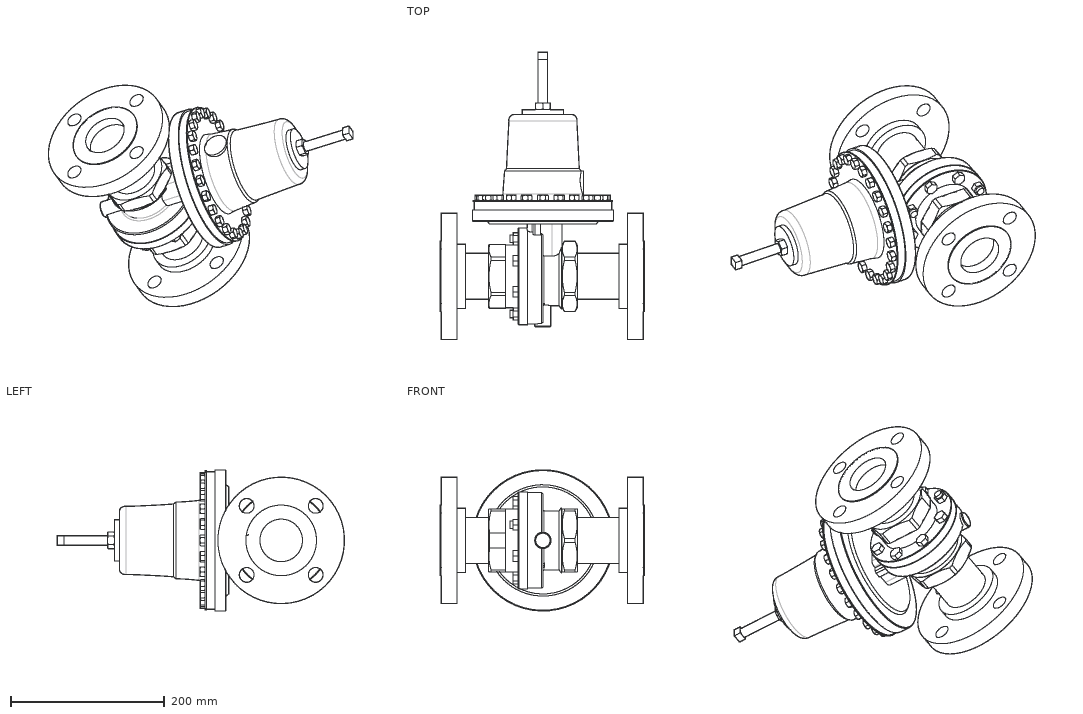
import cadquery as cq
import math


OVERALL_LENGTH = 266.7
FLANGE_DIA = 165.1
FLANGE_THICKNESS = 20.8
RAISED_FACE_DIA = 92.1
RAISED_FACE_HEIGHT = 1.6
HUB_DIA = 84.0
HUB_LENGTH = 11.2
PIPE_DIA = 60.3
BORE_DIA = 55.5
BORE_DEPTH = 14.0
BOLT_CIRCLE_DIA = 127.0
BOLT_HOLE_DIA = 19.05
BOLT_HOLE_COUNT = 4

NUT_ACROSS_FLATS = 82.0
NUT_ACROSS_CORNERS = 91.8
LEFT_NUT_WIDTH_Y = 83.4
NUT_CHAMFER_AXIAL = 3.5
NUT_CHAMFER_RADIAL = 6.5
NUT_ENVELOPE_MARGIN = 1.0
LEFT_NUT_X = (-69.8, -48.0)
RIGHT_NUT_X = (25.8, 45.8)

COVER_X = -31.3
BODY_SPLIT_X = -19.0
BODY_END_X = 0.8
COVER_RADIUS = 63.3
BODY_RADIUS = 62.3
COVER_EDGE_CHAMFER = 0.8
BODY_EDGE_CHAMFER = 1.5
NECK_FILLET = 2.4
LEFT_NECK_RADIUS = 41.0
RIGHT_NECK_RADIUS = 38.4
RIGHT_NECK_END_X = 22.0
RIGHT_RIM_RADIUS = 42.5
RIGHT_RIM_WIDTH = 1.0

COVER_SCREW_COUNT = 8
COVER_SCREW_CIRCLE_RADIUS = 53.0
COVER_SCREW_HEX_CORNERS = 16.0
COVER_SCREW_HEAD = 6.8
STUD_DIA = 10.0
STUD_LENGTH = 11.0

PLUG_DIA = 21.2
PLUG_END_Y = -66.0
PLUG_CHAMFER = 1.2

NECK_WIDTH_END_X = 26.0
NECK_CORNER_RADIUS = 13.5
NECK_HALF_HEIGHT = 28.0
TAP_BLOCK_X = (-12.0, -2.0)
TAP_BLOCK_Y = 53.6
TAP_BLOCK_HALF_HEIGHT = 32.0
TAP_BLOCK_CHAMFER = 2.4
TAP_BOSS_START_X = -19.8
TAP_BOSS_Y = 57.8
TAP_BOSS_HALF_HEIGHT = 23.0
TAP_BOSS_EDGE_RADIUS = 6.0

HEAD_X = 0.8
HEAD_FACE_Y = 68.2
HEAD_OVERLAP = 1.0
PAD_TOP_RADIUS = 69.8
PAD_BASE_RADIUS = 72.6
CASE_Y = 71.8
CASE_SPLIT_Y = 86.6
CASE_RADIUS = 92.075
CASE_CHAMFER = 1.0
COVER_PLATE_RADIUS = 89.8
LIP_Y = 97.6
LIP_RADIUS = 91.0
COVER_PLATE_TOP_Y = 99.0
BELL_BASE_RADIUS = 52.3
BELL_FOOT_RADIUS = 54.0
BELL_FOOT_Y = 107.4
STEP_Y = 137.3
STEP_LOWER_RADIUS = 50.1
BELL_Y = 140.4
BELL_LOWER_RADIUS = 47.6
SHOULDER_Y = 202.4
SHOULDER_RADIUS = 44.5
SHOULDER_TOP_RADIUS = 38.5
CROWN_Y = 211.0
CAP_RADIUS = 27.0
CAP_Y = 217.4
LOCKNUT_CORNERS = 22.3
LOCKNUT_Y = 226.2
STEM_DIA = 12.7
SQUARE_START_Y = 282.8
STEM_END_Y = 292.1

SMALL_HEX_CHAMFER = 0.9
HEAD_SCREW_COUNT = 24
HEAD_SCREW_CIRCLE_RADIUS = 82.2
HEAD_SCREW_CORNERS = 14.4
HEAD_SCREW_TOP_Y = 105.7

VENT_Y = 121.5
VENT_RADIUS = 15.8
VENT_END_X = 53.8


def x_cylinder(radius, start, end, y=0, z=0):
    """Cylinder along X between two X positions."""
    return cq.Workplane("YZ", origin=(start, y, z)).circle(radius).extrude(end - start)


def y_cylinder(radius, start, end, x=HEAD_X):
    """Cylinder along Y between two Y positions."""
    return cq.Workplane("XZ", origin=(x, start, 0)).circle(radius).extrude(start - end)


def y_hexagon(corners, start, end):
    """Hexagonal prism on the Y axis with corners towards +Z and -Z and chamfered ends."""
    hexagon = cq.Workplane("XZ", origin=(0, start, 0)).polygon(6, corners).extrude(start - end)
    hexagon = hexagon.rotate((0, 0, 0), (0, 1, 0), 30)
    envelope = y_cylinder(corners / 2, start, end, 0)
    return hexagon.intersect(envelope.edges().chamfer(SMALL_HEX_CHAMFER))


def centred_block(x_range, y_range, half_height):
    """Block symmetric about Z = 0."""
    width = x_range[1] - x_range[0]
    depth = y_range[1] - y_range[0]
    block = cq.Workplane("XY").box(width, depth, 2 * half_height, centered=(False, False, True))
    return block.translate((x_range[0], y_range[0], 0))


def pipe_end():
    """Left flange with its hub and a pipe stub reaching into the union nut."""
    face = -OVERALL_LENGTH / 2
    flange_start = face + RAISED_FACE_HEIGHT
    flange_end = flange_start + FLANGE_THICKNESS
    hub_end = flange_end + HUB_LENGTH
    end = x_cylinder(RAISED_FACE_DIA / 2, face, flange_end)
    end = end.union(x_cylinder(FLANGE_DIA / 2, flange_start, flange_end))
    end = end.union(x_cylinder(HUB_DIA / 2, flange_start, hub_end))
    end = end.union(x_cylinder(PIPE_DIA / 2, flange_start, 0))
    end = end.cut(x_cylinder(BORE_DIA / 2, face, face + BORE_DEPTH))
    holes = (
        cq.Workplane("YZ", origin=(face, 0, 0))
        .polarArray(BOLT_CIRCLE_DIA / 2, 180 / BOLT_HOLE_COUNT, 360, BOLT_HOLE_COUNT)
        .circle(BOLT_HOLE_DIA / 2)
        .extrude(flange_end - face)
    )
    return end.cut(holes)


def union_nut(x_range, chamfer_far_end):
    """Hexagon nut with flats towards +Z and -Z, blunted corners and chamfered ends."""
    start, end = x_range
    plane = cq.Workplane("YZ", origin=(start, 0, 0))
    cos_30 = math.cos(math.radians(30))
    nut = plane.polygon(6, NUT_ACROSS_FLATS / cos_30).extrude(end - start)
    blunting = plane.polygon(6, NUT_ACROSS_CORNERS / cos_30).extrude(end - start)
    blunting = blunting.rotate((0, 0, 0), (1, 0, 0), 30)
    radius = NUT_ACROSS_CORNERS / 2 + NUT_ENVELOPE_MARGIN
    envelope = x_cylinder(radius, start, end)
    ends = envelope.faces("<X or >X") if chamfer_far_end else envelope.faces("<X")
    envelope = ends.edges().chamfer(NUT_CHAMFER_AXIAL, NUT_CHAMFER_RADIAL)
    return nut.intersect(blunting).intersect(envelope)


def left_union_nut():
    """Left nut, whose +Y and -Y corners are cut back to flats."""
    nut = union_nut(LEFT_NUT_X, False)
    half = LEFT_NUT_WIDTH_Y / 2
    return nut.intersect(centred_block(LEFT_NUT_X, (-half, half), NUT_ACROSS_FLATS / 2))


def valve_body():
    """Bolted round body with its two necks."""
    left_profile = [
        (LEFT_NUT_X[1], 0),
        (LEFT_NUT_X[1], LEFT_NECK_RADIUS),
        (COVER_X, LEFT_NECK_RADIUS),
        (COVER_X, COVER_RADIUS - COVER_EDGE_CHAMFER),
        (COVER_X + COVER_EDGE_CHAMFER, COVER_RADIUS),
        (BODY_SPLIT_X, COVER_RADIUS),
        (BODY_SPLIT_X, BODY_RADIUS),
        (BODY_END_X - BODY_EDGE_CHAMFER, BODY_RADIUS),
        (BODY_END_X, BODY_RADIUS - BODY_EDGE_CHAMFER),
        (BODY_END_X, RIGHT_NECK_RADIUS + NECK_FILLET),
    ]
    body = cq.Workplane("XY").polyline(left_profile)
    body = body.radiusArc((BODY_END_X + NECK_FILLET, RIGHT_NECK_RADIUS), -NECK_FILLET)
    body = (
        body.lineTo(RIGHT_NECK_END_X, RIGHT_NECK_RADIUS)
        .lineTo(RIGHT_NUT_X[0] - RIGHT_RIM_WIDTH, RIGHT_RIM_RADIUS)
        .lineTo(RIGHT_NUT_X[0], RIGHT_NECK_RADIUS)
        .lineTo(RIGHT_NUT_X[0], 0)
        .close()
    )
    return body.revolve(360, (0, 0, 0), (1, 0, 0))


def cover_screws():
    """Hexagon heads with corners along Y or Z; the two at the sides above centre carry studs."""
    screws = cq.Workplane("XY")
    step = 360 / COVER_SCREW_COUNT
    for index in range(COVER_SCREW_COUNT):
        angle = math.radians((index + 0.5) * step)
        y = COVER_SCREW_CIRCLE_RADIUS * math.cos(angle)
        z = COVER_SCREW_CIRCLE_RADIUS * math.sin(angle)
        plane = cq.Workplane("YZ", origin=(COVER_X, y, z))
        screw = plane.polygon(6, COVER_SCREW_HEX_CORNERS).extrude(-COVER_SCREW_HEAD)
        if abs(z) > abs(y):
            screw = screw.rotate((0, y, z), (1, y, z), 30)
        screws = screws.union(screw)
        if 0 < z < abs(y):
            screws = screws.union(x_cylinder(STUD_DIA / 2, COVER_X - STUD_LENGTH, COVER_X, y, z))
    return screws


def drain_plug():
    """Round boss on the -Y side of the body."""
    plug = y_cylinder(PLUG_DIA / 2, PLUG_END_Y, 0)
    return plug.faces("<Y").edges().chamfer(PLUG_CHAMFER)


def head_neck():
    """Neck with a rounded +X side, and the stepped tap pads beside it."""
    to_head = HEAD_FACE_Y + HEAD_OVERLAP
    neck = centred_block((TAP_BLOCK_X[1], NECK_WIDTH_END_X), (0, to_head), NECK_HALF_HEIGHT)
    neck = neck.edges("|Y and >X").fillet(NECK_CORNER_RADIUS)
    block = centred_block(TAP_BLOCK_X, (TAP_BLOCK_Y, to_head), TAP_BLOCK_HALF_HEIGHT)
    block = block.edges("|Y and <X").chamfer(TAP_BLOCK_CHAMFER)
    boss_range = (TAP_BOSS_START_X, TAP_BLOCK_X[1])
    boss = centred_block(boss_range, (TAP_BOSS_Y, to_head), TAP_BOSS_HALF_HEIGHT)
    boss = boss.edges("|Y and <X").fillet(TAP_BOSS_EDGE_RADIUS)
    return neck.union(block).union(boss)


def head_casing():
    """Diaphragm case, spring bell and top cap revolved about the head axis."""
    shoulder_mid = (
        SHOULDER_TOP_RADIUS + (SHOULDER_RADIUS - SHOULDER_TOP_RADIUS) * math.sin(math.radians(45)),
        SHOULDER_Y + (CROWN_Y - SHOULDER_Y) * math.sin(math.radians(45)),
    )
    casing = (
        cq.Workplane("XY")
        .moveTo(0, HEAD_FACE_Y)
        .lineTo(PAD_TOP_RADIUS, HEAD_FACE_Y)
        .lineTo(PAD_BASE_RADIUS, CASE_Y)
        .lineTo(CASE_RADIUS - CASE_CHAMFER, CASE_Y)
        .lineTo(CASE_RADIUS, CASE_Y + CASE_CHAMFER)
        .lineTo(CASE_RADIUS, CASE_SPLIT_Y)
        .lineTo(COVER_PLATE_RADIUS, CASE_SPLIT_Y)
        .lineTo(COVER_PLATE_RADIUS, LIP_Y)
        .lineTo(LIP_RADIUS, LIP_Y)
        .lineTo(LIP_RADIUS, COVER_PLATE_TOP_Y)
        .lineTo(BELL_FOOT_RADIUS, COVER_PLATE_TOP_Y)
        .lineTo(BELL_BASE_RADIUS, BELL_FOOT_Y)
        .lineTo(STEP_LOWER_RADIUS, STEP_Y)
        .lineTo(BELL_LOWER_RADIUS, BELL_Y)
        .lineTo(SHOULDER_RADIUS, SHOULDER_Y)
        .threePointArc(shoulder_mid, (SHOULDER_TOP_RADIUS, CROWN_Y))
        .lineTo(CAP_RADIUS, CROWN_Y)
        .lineTo(CAP_RADIUS, CAP_Y)
        .lineTo(0, CAP_Y)
        .close()
        .revolve(360, (0, 0, 0), (0, 1, 0))
    )
    return casing.translate((HEAD_X, 0, 0))


def adjusting_stem():
    """Locknut and round stem ending in a square."""
    stem = y_hexagon(LOCKNUT_CORNERS, CAP_Y, LOCKNUT_Y).translate((HEAD_X, 0, 0))
    stem = stem.union(y_cylinder(STEM_DIA / 2, CAP_Y, SQUARE_START_Y))
    half = STEM_DIA / 2
    square = centred_block((HEAD_X - half, HEAD_X + half), (SQUARE_START_Y, STEM_END_Y), half)
    return stem.union(square)


def head_screws():
    """Ring of hexagon heads on the diaphragm cover."""
    first = y_hexagon(HEAD_SCREW_CORNERS, COVER_PLATE_TOP_Y, HEAD_SCREW_TOP_Y)
    first = first.translate((HEAD_SCREW_CIRCLE_RADIUS, 0, 0))
    screws = cq.Workplane("XY")
    for index in range(HEAD_SCREW_COUNT):
        angle = index * 360 / HEAD_SCREW_COUNT
        screws = screws.union(first.rotate((0, 0, 0), (0, 1, 0), angle))
    return screws.translate((HEAD_X, 0, 0))


left_end = pipe_end()
right_end = left_end.mirror("YZ")
features = [
    right_end,
    left_union_nut(),
    union_nut(RIGHT_NUT_X, True),
    valve_body(),
    cover_screws(),
    drain_plug(),
    head_neck(),
    head_casing(),
    adjusting_stem(),
    head_screws(),
    x_cylinder(VENT_RADIUS, HEAD_X, VENT_END_X, VENT_Y),
]

result = left_end
for feature in features:
    result = result.union(feature)